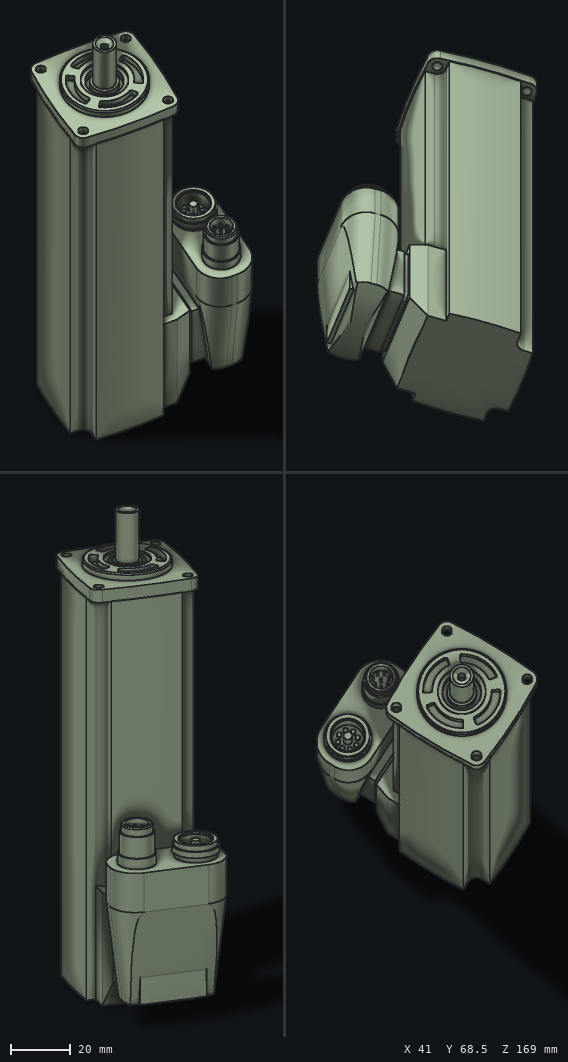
import cadquery as cq
import math

total_height = 169.0
flange_bottom_z = 144.5
flange_top_z = 149.0
pilot_top_z = 151.6

flange_half = 20.0
flange_corner_half = 19.3
body_half = 19.6
body_edge_half = 19.1
screw_offset = 15.9
groove_radius = 3.2
groove_inset = screw_offset - groove_radius
flange_hole_diameter = 3.4

pilot_diameter = 30.0
pilot_chamfer = 0.5
recess_diameter = 16.0
recess_depth = 0.8
seal_bore_diameter = 13.0
seal_bore_depth = 3.4
collar_diameter = 10.0
collar_drop = 0.7
shaft_diameter = 8.0
center_hole_diameter = 2.5
center_hole_depth = 6.8
countersink_diameter = 6.0
countersink_depth = 1.4
slot_inner_radius = 10.0
slot_outer_radius = 13.0
slot_half_angle = 35.0
slot_depth = 2.5
slot_corner_radius = 0.7

block_height = 40.5
block_ramp_height = 10.1
block_shoulder_y = 19.3
block_end_y = 25.0
block_tip_half = 14.0
plate_end_y = 26.4
plate_half = 12.8
plate_corner_radius = 2.5
neck_half = 12.5
neck_center_z = 25.5

total_depth = 68.5
housing_width = 41.0
housing_half_x = housing_width / 2
housing_half_y = 10.0
housing_center_y = total_depth - flange_half - housing_half_y
housing_corner_radius = 9.0
housing_top_z = 57.5
taper_top_z = 43.5
housing_bottom_z = 7.5
tail_inset = 4.5
tail_end_z = 9.1
tail_edge_radius = 3.4
tail_edge_margin = 0.5
lug_width = 23.7
lug_depth = 3.4
lug_height = 10.8
lug_outer_y = 45.5

socket_offset_x = 10.5
power_base_diameter = 14.7
power_collar_diameter = 16.0
power_collar_bottom_z = 59.3
power_collar_top_z = 61.5
power_top_z = 63.5
power_bore_diameter = 10.8
power_rim_diameter = 11.8
power_rim_depth = 0.7
power_bore_depth = 7.6
power_center_pin_diameter = 2.9
power_center_pin_height = 7.1
power_pin_diameter = 1.65
power_pin_height = 2.5
power_pin_radius = 3.4
power_pin_count = 8
power_pin_start_angle = 0.0
signal_base_diameter = 13.0
signal_base_top_z = 61.2
signal_barrel_diameter = 12.0
signal_barrel_top_z = 68.8
signal_tip_diameter = 10.8
signal_top_z = 71.8
signal_tip_chamfer = 0.5
signal_bore_diameter = 8.0
signal_bore_depth = 5.0
signal_pin_diameter = 0.8
signal_pin_height = 3.4
signal_pin_radius = 2.7
signal_pin_count = 7
signal_pin_start_angle = 7.0


def cylinder(diameter, bottom_z, top_z, x=0.0, y=0.0):
    """Upright cylinder between two heights."""
    disc = cq.Workplane("XY", origin=(x, y, bottom_z)).circle(diameter / 2)
    return disc.extrude(top_z - bottom_z)


def quarter_turn(point, turns):
    """Turn a plan point about the motor axis by quarter turns."""
    x, y = point
    for _ in range(turns):
        x, y = -y, x
    return x, y


def four_sided_outline(bottom_z, segments):
    """Closed outline that repeats one side and corner four times.

    Each segment is (end,) for a line or (middle, end) for an arc; the last
    one ends where the next side begins.
    """
    start = quarter_turn(segments[-1][-1], 3)
    outline = cq.Workplane("XY", origin=(0, 0, bottom_z)).moveTo(*start)
    for turns in range(4):
        for segment in segments:
            points = [quarter_turn(point, turns) for point in segment]
            if len(points) == 1:
                outline = outline.lineTo(*points[0])
            else:
                outline = outline.threePointArc(*points)
    return outline.close()


def make_body():
    """Motor housing with a rounded groove along each corner."""
    arc_middle = screw_offset - groove_radius * math.sqrt(0.5)
    segments = [
        ((body_half, 0), (body_edge_half, groove_inset)),
        ((screw_offset, groove_inset),),
        ((arc_middle, arc_middle), (groove_inset, screw_offset)),
        ((groove_inset, body_edge_half),),
    ]
    return four_sided_outline(0, segments).extrude(flange_bottom_z)


def make_flange():
    """Mounting flange with bulged sides, rounded corners and four holes."""
    corner_middle = screw_offset + (flange_corner_half - screw_offset) * math.sqrt(0.5)
    segments = [
        ((flange_half, 0), (flange_corner_half, screw_offset)),
        ((corner_middle, corner_middle), (screw_offset, flange_corner_half)),
    ]
    flange = four_sided_outline(flange_bottom_z, segments).extrude(flange_top_z - flange_bottom_z)
    hole_pitch = 2 * screw_offset
    return (
        flange.faces(">Z").workplane(origin=(0, 0, flange_top_z))
        .rect(hole_pitch, hole_pitch, forConstruction=True)
        .vertices().hole(flange_hole_diameter)
    )


def make_slot():
    """Curved pocket cutter centred on the +X axis."""
    def polar(radius, degrees):
        angle = math.radians(degrees)
        return radius * math.cos(angle), radius * math.sin(angle)

    return (
        cq.Workplane("XY", origin=(0, 0, pilot_top_z - slot_depth))
        .moveTo(*polar(slot_outer_radius, -slot_half_angle))
        .threePointArc(polar(slot_outer_radius, 0), polar(slot_outer_radius, slot_half_angle))
        .lineTo(*polar(slot_inner_radius, slot_half_angle))
        .threePointArc(polar(slot_inner_radius, 0), polar(slot_inner_radius, -slot_half_angle))
        .close().extrude(slot_depth)
        .edges("|Z").fillet(slot_corner_radius)
    )


def cut_pilot_face(motor):
    """Stepped seal recess and four curved pockets in the pilot face."""
    motor = motor.cut(cylinder(recess_diameter, pilot_top_z - recess_depth, pilot_top_z))
    motor = motor.cut(cylinder(seal_bore_diameter, pilot_top_z - seal_bore_depth, pilot_top_z))
    slot = make_slot()
    for quarter in range(4):
        motor = motor.cut(slot.rotate((0, 0, 0), (0, 0, 1), 90 * quarter))
    return motor


def make_shaft():
    """Shaft with its bearing collar and a countersunk centre hole."""
    shaft = cylinder(shaft_diameter, flange_bottom_z, total_height)
    shaft = shaft.faces(">Z").workplane().hole(center_hole_diameter, center_hole_depth)
    countersink = cq.Workplane(cq.Solid.makeCone(
        center_hole_diameter / 2, countersink_diameter / 2, countersink_depth,
        pnt=cq.Vector(0, 0, total_height - countersink_depth),
    ))
    collar = cylinder(collar_diameter, flange_bottom_z, pilot_top_z - collar_drop)
    return shaft.cut(countersink).union(collar)


def make_outlet_block():
    """Tapered block on the motor's +Y side with a ramp underneath."""
    block = (
        cq.Workplane("XY")
        .moveTo(-screw_offset, groove_inset)
        .lineTo(screw_offset, groove_inset)
        .lineTo(screw_offset, block_shoulder_y)
        .lineTo(block_tip_half, block_end_y)
        .lineTo(-block_tip_half, block_end_y)
        .lineTo(-screw_offset, block_shoulder_y)
        .close().extrude(block_height)
    )
    ramp = (
        cq.Workplane("YZ", origin=(-screw_offset, 0, 0))
        .moveTo(block_shoulder_y, 0)
        .lineTo(block_end_y, block_ramp_height)
        .lineTo(block_end_y, 0)
        .close().extrude(2 * screw_offset)
    )
    return block.cut(ramp)


def make_neck():
    """Square neck joining the block to the housing, with a rounded base plate."""
    def square_bar(half, start_y, end_y):
        return (
            cq.Workplane("XZ", origin=(0, start_y, neck_center_z))
            .rect(2 * half, 2 * half).extrude(start_y - end_y)
        )

    plate = square_bar(plate_half, block_end_y, plate_end_y)
    plate = plate.edges("|Y").fillet(plate_corner_radius)
    return plate.union(square_bar(neck_half, plate_end_y, housing_center_y))


def housing_outline(plane, half_x):
    """Rounded housing outline of a given half length, placed on a plane."""
    sketch = cq.Sketch().rect(2 * half_x, 2 * housing_half_y)
    return cq.Workplane(plane).placeSketch(sketch.vertices().fillet(housing_corner_radius))


def make_housing():
    """Connector housing: straight rounded head and a tapered tail with sloped flat sides."""
    base_center = (0, housing_center_y, taper_top_z)
    head = housing_outline(cq.Plane(base_center), housing_half_x)
    head = head.extrude(housing_top_z - taper_top_z)

    tail = make_tail_envelope()
    tail_height = taper_top_z - housing_bottom_z
    lean = math.atan2(tail_inset, tail_height)
    for side in (-1, 1):
        plane = cq.Plane(
            base_center,
            xDir=(math.cos(lean), 0, -side * math.sin(lean)),
            normal=(side * math.sin(lean), 0, math.cos(lean)),
        )
        bar = housing_outline(plane, housing_half_x * math.cos(lean))
        tail = tail.intersect(bar.extrude(2 * tail_height, both=True))
    return head.union(tail).union(make_lug())


def make_tail_envelope():
    """Envelope with the tail's sloped sides, rounded lower edges and bowed underside."""
    flat_half = housing_half_y - tail_inset - tail_edge_radius + tail_edge_margin
    round_half = flat_half + tail_edge_radius
    arc_y = flat_half + tail_edge_radius * math.sqrt(0.5)
    arc_z = housing_bottom_z + tail_edge_radius * (1 - math.sqrt(0.5))
    rounded = (
        cq.Workplane("YZ", origin=(-housing_half_x, housing_center_y, 0))
        .moveTo(-flat_half, housing_bottom_z)
        .lineTo(flat_half, housing_bottom_z)
        .threePointArc((arc_y, arc_z), (round_half, housing_bottom_z + tail_edge_radius))
        .lineTo(housing_half_y, taper_top_z)
        .lineTo(-housing_half_y, taper_top_z)
        .lineTo(-round_half, housing_bottom_z + tail_edge_radius)
        .threePointArc((-arc_y, arc_z), (-flat_half, housing_bottom_z))
        .close().extrude(2 * housing_half_x)
    )
    bow_half = housing_half_x - tail_inset
    bowed = (
        cq.Workplane("XZ", origin=(0, housing_center_y + housing_half_y, 0))
        .moveTo(-bow_half, tail_end_z)
        .threePointArc((0, housing_bottom_z), (bow_half, tail_end_z))
        .lineTo(housing_half_x, tail_end_z)
        .lineTo(housing_half_x, taper_top_z)
        .lineTo(-housing_half_x, taper_top_z)
        .lineTo(-housing_half_x, tail_end_z)
        .close().extrude(2 * housing_half_y)
    )
    return rounded.intersect(bowed)


def make_lug():
    """Upright rib at the back of the tail."""
    rib = cq.Workplane("XY", origin=(0, lug_outer_y - lug_depth / 2, tail_end_z))
    return rib.box(lug_width, lug_depth, lug_height, centered=(True, True, False))


def make_pin_ring(diameter, count, ring_radius, start_angle, bottom_z, height, x):
    """Pins on a circle inside a socket."""
    return (
        cq.Workplane("XY", origin=(x, housing_center_y, bottom_z))
        .polarArray(ring_radius, start_angle, 360, count)
        .circle(diameter / 2).extrude(height)
    )


def make_power_socket():
    """Short wide socket with a collar, stepped bore and contact pins."""
    place = (-socket_offset_x, housing_center_y)
    floor_z = power_top_z - power_bore_depth
    socket = cylinder(power_base_diameter, housing_top_z, power_top_z, *place)
    socket = socket.union(
        cylinder(power_collar_diameter, power_collar_bottom_z, power_collar_top_z, *place)
    )
    socket = socket.cut(cylinder(power_bore_diameter, floor_z, power_top_z, *place))
    socket = socket.cut(
        cylinder(power_rim_diameter, power_top_z - power_rim_depth, power_top_z, *place)
    )
    center_pin = cylinder(
        power_center_pin_diameter, floor_z, floor_z + power_center_pin_height, *place
    )
    pins = make_pin_ring(
        power_pin_diameter, power_pin_count, power_pin_radius, power_pin_start_angle,
        floor_z, power_pin_height, place[0],
    )
    return socket.union(center_pin).union(pins)


def make_signal_socket():
    """Tall slim socket with a chamfered tip, bore and contact pins."""
    place = (socket_offset_x, housing_center_y)
    floor_z = signal_top_z - signal_bore_depth
    socket = cylinder(signal_base_diameter, housing_top_z, signal_base_top_z, *place)
    socket = socket.union(
        cylinder(signal_barrel_diameter, signal_base_top_z, signal_barrel_top_z, *place)
    )
    tip = cylinder(signal_tip_diameter, signal_barrel_top_z, signal_top_z, *place)
    socket = socket.union(tip.faces(">Z").chamfer(signal_tip_chamfer))
    socket = socket.cut(cylinder(signal_bore_diameter, floor_z, signal_top_z, *place))
    center_pin = cylinder(signal_pin_diameter, floor_z, floor_z + signal_pin_height, *place)
    pins = make_pin_ring(
        signal_pin_diameter, signal_pin_count, signal_pin_radius, signal_pin_start_angle,
        floor_z, signal_pin_height, place[0],
    )
    return socket.union(center_pin).union(pins)


pilot = cylinder(pilot_diameter, flange_top_z, pilot_top_z).faces(">Z").chamfer(pilot_chamfer)
motor = make_body().union(make_flange()).union(pilot)
motor = cut_pilot_face(motor).union(make_shaft())
connector = make_neck().union(make_housing()).union(make_power_socket()).union(make_signal_socket())
result = motor.union(make_outlet_block()).union(connector)